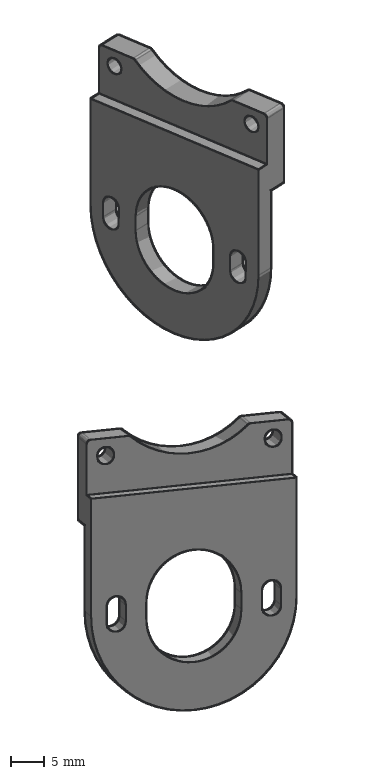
import cadquery as cq
import math

plate_width = 33.02
overall_height = 43.87
overall_depth = 6.10
plate_thickness = 3.05
front_step_depth = 2.03
front_step_z = 18.67
flange_bottom_z = 13.59
corner_radius = 0.635

bore_width = 15.24
bore_height = 17.78

side_slot_width = 3.05
side_slot_height = 5.59
side_slot_spacing = 24.94

screw_hole_diameter = 2.7
screw_hole_spacing = 26.92
screw_hole_drop = 2.75

notch_radius = 14.1
notch_depth = 3.75

end_radius = plate_width / 2
top_z = overall_height - end_radius
notch_center_z = top_z - notch_depth + notch_radius
flange_mid_y = (front_step_depth + overall_depth) / 2


def box_between(z_low, z_high, y_front, y_back):
    """Full-width block spanning the given heights and depths."""
    depth = y_back - y_front
    height = z_high - z_low
    block = cq.Workplane("XY").box(plate_width, depth, height, centered=(True, False, False))
    return block.translate((0, y_front, z_low))


def front_plane():
    """Workplane on the front face; negative extrusions go back into the part."""
    return cq.Workplane("XZ")


def vertical_slot(width, height, x):
    """Round-ended upright slot cutter, centred at height zero."""
    slot = front_plane().center(x, 0).slot2D(height, width, 90)
    return slot.extrude(-overall_depth)


def round_cutter(radius, x, z):
    """Cylindrical cutter through the full depth."""
    return front_plane().center(x, z).circle(radius).extrude(-overall_depth)


def make_plate():
    """Lower plate with a semicircular end."""
    outline = (
        front_plane()
        .moveTo(-end_radius, front_step_z)
        .lineTo(-end_radius, 0)
        .threePointArc((0, -end_radius), (end_radius, 0))
        .lineTo(end_radius, front_step_z)
        .close()
    )
    return outline.extrude(-plate_thickness)


def make_flange():
    """Upper flange, set back from the front, with a notch and rounded top edges."""
    flange = box_between(flange_bottom_z, top_z, front_step_depth, overall_depth)
    flange = flange.faces(">Z").edges("|Y").fillet(corner_radius)
    flange = flange.cut(round_cutter(notch_radius, 0, notch_center_z))
    half_chord = math.sqrt(notch_radius**2 - (notch_center_z - top_z) ** 2)
    for x in (-half_chord, half_chord):
        corner = cq.selectors.NearestToPointSelector((x, flange_mid_y, top_z))
        flange = flange.edges("|Y").edges(corner).fillet(corner_radius)
    return flange


def cut_bore(body):
    """Large round-ended opening on the centre line."""
    return body.cut(vertical_slot(bore_width, bore_height, 0))


def cut_side_slots(body):
    """Pair of narrow slots either side of the bore."""
    for side in (-1, 1):
        slot_x = side * side_slot_spacing / 2
        body = body.cut(vertical_slot(side_slot_width, side_slot_height, slot_x))
    return body


def cut_screw_holes(body):
    """Pair of through holes near the top corners of the flange."""
    for side in (-1, 1):
        hole_x = side * screw_hole_spacing / 2
        body = body.cut(round_cutter(screw_hole_diameter / 2, hole_x, top_z - screw_hole_drop))
    return body


bracket = make_plate().union(make_flange())
bracket = cut_bore(bracket)
bracket = cut_side_slots(bracket)
result = cut_screw_holes(bracket)